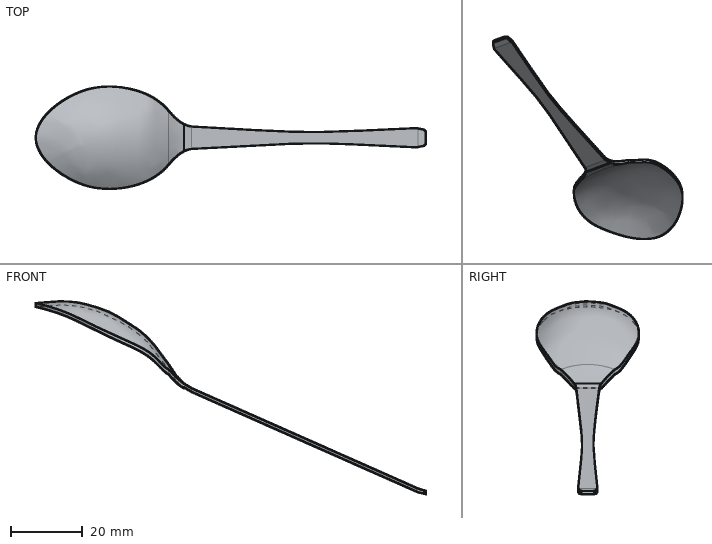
import cadquery as cq

length = 108.7
height = 53.8
bowl_width = 28.6
blank_depth = 65.2

neck_start = 37.1
neck_end = 41.3
section_half_width = 15.2
bowl_sag = 6.7
bowl_ridge = [
    (-4.3, 52.3, 1.1),
    (0.0, 53.3, 1.1),
    (4.3, 53.7, 1.1),
    (8.7, height, 1.1),
    (13.0, 53.3, 1.1),
    (17.4, 52.1, 1.1),
    (21.7, 50.2, 1.2),
    (26.1, 47.7, 1.2),
    (30.4, 44.5, 1.3),
    (33.7, 40.8, 1.4),
    (neck_start, 36.2, 1.4),
]
bowl_stations = [(x, ridge, bowl_sag, thickness) for x, ridge, thickness in bowl_ridge]
neck_stations = [
    bowl_stations[-1],
    (39.1, 33.2, 4.6, 1.5),
    (neck_end, 30.9, 0.3, 1.3),
]

handle_thickness = 1.1
handle_start_height = 30.9
handle_bend = (43.5, 29.6)
tip_start = (106.5, 1.6)
tip_height = 1.0

shoulder = (neck_start, 7.5)
neck = (43.5, 3.2)
bowl_outline = [
    (1.6, 4.8), (4.9, 8.4), (9.8, 11.6), (15.2, 13.7), (20.7, bowl_width / 2),
    (26.1, 13.7), (31.5, 11.8), shoulder,
]
neck_outline = [(39.1, 5.3), (41.3, 3.8), neck]
handle_outline = [(60.9, 2.2), (81.5, 1.6), (97.8, 2.4), (106.1, 2.7)]
tip_corner = (108.2, 2.3)
tip_half_width = 1.7


def arched_section(x, ridge, sag, thickness):
    """Closed arched band across the shell at one station."""
    edge = ridge - sag
    half = section_half_width
    return (
        cq.Workplane("YZ", origin=(x, 0, 0))
        .moveTo(-half, edge)
        .threePointArc((0, ridge), (half, edge))
        .lineTo(half, edge - thickness)
        .threePointArc((0, ridge - thickness), (-half, edge - thickness))
        .close()
        .wires()
        .val()
    )


def arched_shell(stations):
    """Smooth shell through the arched bands at the given stations."""
    return cq.Workplane(cq.Solid.makeLoft([arched_section(*station) for station in stations]))


def handle_strip():
    """Bent flat strip from the neck to the tip."""
    top = [(neck_end, handle_start_height), handle_bend, tip_start, (length, tip_height)]
    bottom = [(x, z - handle_thickness) for x, z in reversed(top)]
    bottom[0] = (length, 0.0)
    return cq.Workplane("XZ").polyline(top + bottom).close().extrude(section_half_width, both=True)


def mirrored(points):
    """Same points on the other side, in reverse order."""
    return [(x, -y) for x, y in reversed(points)]


def plan_cutter():
    """Vertical prism with the spoon's outline from above."""
    bowl_edge = mirrored(bowl_outline) + [(0, 0)] + bowl_outline
    tip_edge = [tip_corner, (length, tip_half_width)]
    handle_edge = [neck] + handle_outline
    return (
        cq.Workplane("XY")
        .spline(bowl_edge)
        .spline(neck_outline, includeCurrent=True)
        .spline(handle_outline, includeCurrent=True)
        .polyline(tip_edge + mirrored(tip_edge), includeCurrent=True)
        .lineTo(handle_outline[-1][0], -handle_outline[-1][1])
        .spline(mirrored(handle_edge)[1:], includeCurrent=True)
        .spline(mirrored([shoulder] + neck_outline)[1:], includeCurrent=True)
        .close()
        .extrude(blank_depth)
    )


outline = plan_cutter()
shell = arched_shell(bowl_stations).union(arched_shell(neck_stations))
result = shell.intersect(outline).union(handle_strip().intersect(outline))